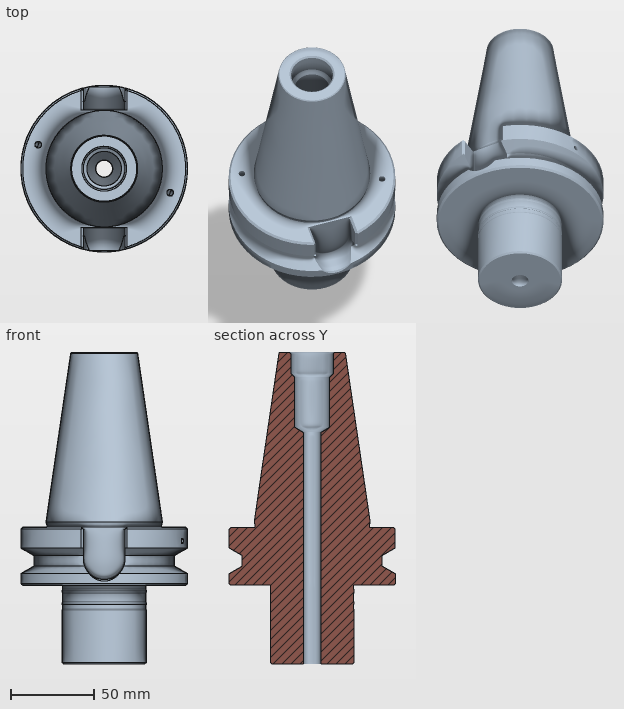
import cadquery as cq
import math

total_height = 186.8
flange_bottom = 47.0
groove_bottom = 58.7
groove_top = 65.0
flange_top = 82.0
gauge_line = 85.0

taper_ratio = 7 / 24
gauge_radius = 69.9 / 2
tip_radius = gauge_radius - (total_height - gauge_line) * taper_ratio / 2
neck_radius = 34.4
neck_top = 83.1
tip_chamfer = 0.5

flange_radius = 100.0 / 2
groove_radius = 42.2
flange_chamfer = 1.1
groove_side_height = (flange_radius - groove_radius) * math.tan(math.radians(30))
lower_rim_top = groove_bottom - groove_side_height
upper_rim_bottom = groove_top + groove_side_height

nose_radius = 50.5 / 2
relief_radius = 50.0 / 2
nose_chamfer = 1.0
band_chamfer = 0.7
nose_body_top = 33.0
middle_band = (35.7, 37.4)
upper_band = (42.4, 44.8)

slot_width = 25.0
slot_floor = 35.3
slot_bottom = 50.6
slot_floor_fillet = 0.5
slot_edge_chamfer = 1.3
slot_lower_chamfer = 1.0

bore_mouth_radius = 26.9 / 2
bore_mouth_chamfer = 1.0
bore_radius = 25.0 / 2
bore_depth = 12.7
core_radius = 20.7 / 2
core_depth = 44.8
drill_tip_angle = 118
through_radius = 10.0 / 2

coolant_angles = (160, 340)
coolant_circle_radius = 42.0
coolant_diameter = 4.0
plug_diameter = 3.2
plug_height = 73.8


def revolve_about_z(points):
    return cq.Workplane("XZ").polyline(points).close().revolve(360, (0, 0), (0, 1))


def make_body():
    points = [
        (0, 0),
        (nose_radius - nose_chamfer, 0),
        (nose_radius, nose_chamfer),
        (nose_radius, nose_body_top - band_chamfer),
        (relief_radius, nose_body_top),
        (relief_radius, middle_band[0]),
        (nose_radius, middle_band[0]),
        (nose_radius, middle_band[1] - band_chamfer),
        (relief_radius, middle_band[1]),
        (relief_radius, upper_band[0]),
        (nose_radius, upper_band[0] + band_chamfer),
        (nose_radius, upper_band[1] - band_chamfer),
        (relief_radius, upper_band[1]),
        (relief_radius, flange_bottom),
        (flange_radius - flange_chamfer, flange_bottom),
        (flange_radius, flange_bottom + flange_chamfer),
        (flange_radius, lower_rim_top),
        (groove_radius, groove_bottom),
        (groove_radius, groove_top),
        (flange_radius, upper_rim_bottom),
        (flange_radius, flange_top - flange_chamfer),
        (flange_radius - flange_chamfer, flange_top),
        (neck_radius, flange_top),
        (neck_radius, neck_top),
        (gauge_radius, gauge_line),
        (tip_radius, total_height - tip_chamfer),
        (tip_radius - tip_chamfer, total_height),
        (0, total_height),
    ]
    return revolve_about_z(points)


def make_bore():
    core_top = total_height - bore_depth - (bore_radius - core_radius)
    core_bottom = total_height - core_depth
    tip_drop = (core_radius - through_radius) / math.tan(math.radians(drill_tip_angle / 2))
    points = [
        (0, total_height),
        (bore_mouth_radius, total_height),
        (bore_radius, total_height - bore_mouth_chamfer),
        (bore_radius, total_height - bore_depth),
        (core_radius, core_top),
        (core_radius, core_bottom),
        (through_radius, core_bottom - tip_drop),
        (through_radius, 0),
        (0, 0),
    ]
    return revolve_about_z(points)


def make_slot():
    """Round-bottomed slot on the -Y side, with its rim edges chamfered."""
    half = slot_width / 2
    wide_half = half + slot_edge_chamfer
    depth = flange_radius - slot_floor
    slot = (
        cq.Workplane("XZ", origin=(0, -slot_floor, 0))
        .moveTo(-half, flange_top)
        .lineTo(-half, slot_bottom + half)
        .threePointArc((0, slot_bottom), (half, slot_bottom + half))
        .lineTo(half, flange_top)
        .close()
        .extrude(depth)
    )
    slot = slot.faces(">Y").edges("not >Z").fillet(slot_floor_fillet)

    top_chamfer = (
        cq.Workplane("XZ", origin=(0, -slot_floor, 0))
        .polyline([
            (-half, flange_top - slot_edge_chamfer),
            (half, flange_top - slot_edge_chamfer),
            (wide_half, flange_top),
            (-wide_half, flange_top),
        ])
        .close()
        .extrude(depth)
    )

    mouth_y = -math.sqrt(flange_radius**2 - wide_half**2)
    mouth_chamfer = (
        cq.Workplane("XY", origin=(0, 0, upper_rim_bottom))
        .polyline([
            (-half, mouth_y + slot_edge_chamfer),
            (half, mouth_y + slot_edge_chamfer),
            (wide_half, mouth_y),
            (wide_half, -flange_radius),
            (-wide_half, -flange_radius),
            (-wide_half, mouth_y),
        ])
        .close()
        .extrude(flange_top - upper_rim_bottom)
    )

    center_height = slot_bottom + half
    lower_cone = cq.Workplane(cq.Solid.makeCone(
        half,
        half + slot_lower_chamfer,
        slot_lower_chamfer,
        pnt=cq.Vector(0, slot_lower_chamfer - flange_radius, center_height),
        dir=cq.Vector(0, -1, 0),
    ))
    lower_rim = cq.Workplane("XY", origin=(0, 0, flange_bottom)).circle(flange_radius).extrude(
        lower_rim_top - flange_bottom
    )
    lower_chamfer = lower_cone.intersect(lower_rim)
    return slot.union(top_chamfer).union(mouth_chamfer).union(lower_chamfer)


def make_coolant_hole(angle):
    """Vertical hole from the flange top, met by a radial plug hole."""
    vertical = (
        cq.Workplane("XY", origin=(coolant_circle_radius, 0, plug_height))
        .circle(coolant_diameter / 2)
        .extrude(flange_top - plug_height)
    )
    radial = (
        cq.Workplane("YZ", origin=(coolant_circle_radius, 0, plug_height))
        .circle(plug_diameter / 2)
        .extrude(flange_radius - coolant_circle_radius)
    )
    return vertical.union(radial).rotate((0, 0, 0), (0, 0, 1), angle)


result = make_body().cut(make_bore())
for slot_angle in (0, 180):
    result = result.cut(make_slot().rotate((0, 0, 0), (0, 0, 1), slot_angle))
for coolant_angle in coolant_angles:
    result = result.cut(make_coolant_hole(coolant_angle))